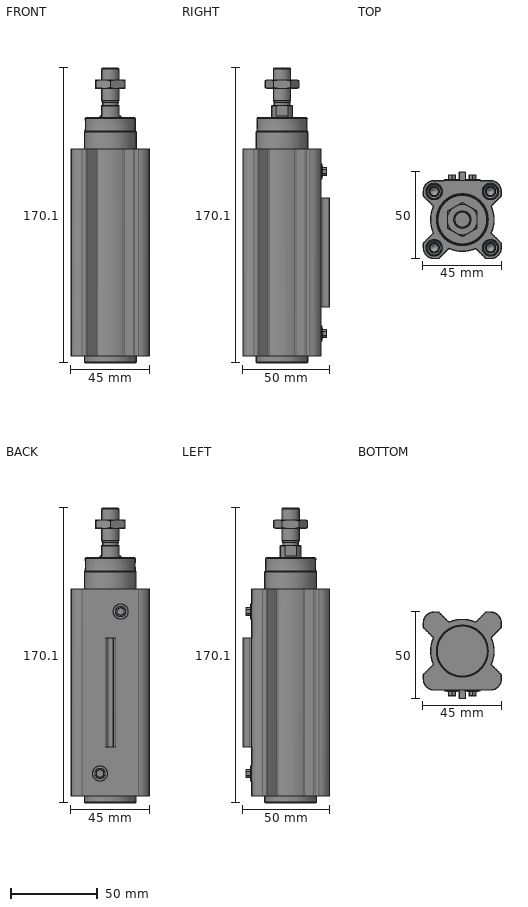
import cadquery as cq
import math


rod_top = 170.1
body_bottom = 3.9
body_top = 123.3
collar_step = 133.2
collar_top = 141.4

body_width = 45.0
half_width = body_width / 2
lobe_radius = 6.3
lobe_offset = half_width - lobe_radius
barrel_radius = 18.4
flank_start = 13.6
edge_radius = 1.0
root_radius = 0.7

collar_diameter = 30.0
rim_diameter = 29.1
waist_diameter = 28.7
collar_chamfer = 0.5

mouth_diameter = 9.5
countersink_diameter = 8.2
thread_diameter = 6.0
neck_diameter = 5.5
core_diameter = 5.0
mouth_depth = 0.3
thread_depth = 20.4
core_depth = 25.5
drill_half_angle = math.radians(59)

overall_depth = 50.0
rail_width = 3.7
rail_length = 63.1
rail_edge_radius = 0.7
rail_root_radius = 1.0

screw_spacing_x = 11.9
screw_spacing_z = 93.4
flange_diameter = 8.7
flange_height = 0.5
boss_diameter = 6.0
boss_height = 0.7
head_flats = 4.0
head_height = 3.2

rod_diameter = 12.0
thread_size = 10.0
relief_diameter = 9.0
rod_flats = 10.0
flats_bottom = 142.2
shoulder_top = 148.5
shoulder_chamfer = 0.5
relief_top = 150.0
thread_bottom = 151.4
rod_tip_chamfer = 0.7

nut_flats = 17.0
nut_bottom = 158.2
nut_thickness = 5.0
nut_face_diameter = 17.5
nut_chamfer_angle = math.radians(30)

body_middle = (body_bottom + body_top) / 2


def revolve_profile(profile):
    """Turn a closed radius-height profile about the Z axis."""
    return profile.close().revolve(360, (0, 0, 0), (0, 1, 0))


def across_corners(flats):
    """Corner-to-corner width of a hexagon with the given width across flats."""
    return flats / math.cos(math.pi / 6)


def make_body():
    """Barrel with four corner lobes; the two rear lobes join along a flat back."""
    height = body_top - body_bottom
    slant = half_width - flank_start
    far = (slant + math.sqrt(2 * barrel_radius**2 - slant**2)) / 2
    near = far - slant
    outside = half_width + edge_radius
    notch = (
        cq.Workplane("XY")
        .workplane(offset=body_bottom)
        .moveTo(far, near)
        .threePointArc((barrel_radius, 0), (far, -near))
        .lineTo(half_width, -flank_start)
        .lineTo(outside, -flank_start)
        .lineTo(outside, flank_start)
        .lineTo(half_width, flank_start)
        .close()
        .extrude(height)
    )
    body = (
        cq.Workplane("XY")
        .workplane(offset=body_bottom)
        .rect(body_width, body_width)
        .extrude(height)
        .edges("|Z")
        .fillet(lobe_radius)
    )
    right, left, front = 0, 180, 270
    for angle in (right, left, front):
        body = body.cut(notch.rotate((0, 0, 0), (0, 0, 1), angle))

    for out, along, radius in ((half_width, flank_start, edge_radius), (far, near, root_radius)):
        for side in (1, -1):
            for x, y in ((out, side * along), (-out, side * along), (side * along, -out)):
                sharp_edge = cq.selectors.NearestToPointSelector((x, y, body_middle))
                body = body.edges("|Z").edges(sharp_edge).fillet(radius)
    return body


def make_collars():
    """Bottom spigot, stepped top collar and the core that joins them, turned as one."""
    outer = collar_diameter / 2
    rim = rim_diameter / 2
    waist = waist_diameter / 2
    return revolve_profile(
        cq.Workplane("XZ")
        .moveTo(0, 0)
        .lineTo(outer - collar_chamfer, 0)
        .lineTo(outer, collar_chamfer)
        .lineTo(outer, collar_step)
        .lineTo(rim, collar_step + collar_chamfer)
        .threePointArc(
            (waist, (collar_step + collar_top) / 2),
            (rim, collar_top - collar_chamfer),
        )
        .lineTo(rim - collar_chamfer, collar_top)
        .lineTo(0, collar_top)
    )


def make_corner_hole():
    """Cutter for a stepped, countersunk hole with a drill-point bottom, on the Z axis."""
    mouth = mouth_diameter / 2
    countersink = countersink_diameter / 2
    thread = thread_diameter / 2
    neck = neck_diameter / 2
    core = core_diameter / 2
    ledge = body_top - mouth_depth
    thread_end = body_top - thread_depth
    core_end = body_top - core_depth
    return revolve_profile(
        cq.Workplane("XZ")
        .moveTo(0, body_top)
        .lineTo(mouth, body_top)
        .lineTo(mouth, ledge)
        .lineTo(countersink, ledge)
        .lineTo(thread, ledge - (countersink - thread))
        .lineTo(thread, thread_end)
        .lineTo(neck, thread_end)
        .lineTo(core, thread_end - (neck - core))
        .lineTo(core, core_end)
        .lineTo(0, core_end - core / math.tan(drill_half_angle))
    )


def make_rail():
    """Bar on the back face with rounded outer edges and rounded roots."""
    half = rail_width / 2
    foot = half + rail_root_radius
    crest = overall_depth - half_width
    arc_inset = 1 - math.sqrt(0.5)
    root_inset = rail_root_radius * arc_inset
    edge_inset = rail_edge_radius * arc_inset
    return (
        cq.Workplane("XY")
        .workplane(offset=body_middle - rail_length / 2)
        .moveTo(0, barrel_radius)
        .lineTo(foot, barrel_radius)
        .lineTo(foot, half_width)
        .threePointArc((half + root_inset, half_width + root_inset), (half, half_width + rail_root_radius))
        .lineTo(half, crest - rail_edge_radius)
        .threePointArc((half - edge_inset, crest - edge_inset), (half - rail_edge_radius, crest))
        .lineTo(0, crest)
        .mirrorY()
        .extrude(rail_length)
    )


def make_screw(side):
    """Hexagon-headed screw on a stepped round flange; side +1 is the upper left screw, -1 the lower right."""
    x = -side * screw_spacing_x / 2
    z = body_middle + side * screw_spacing_z / 2
    back_face = cq.Workplane("XZ", origin=(x, half_width, z))
    flange = back_face.circle(flange_diameter / 2).extrude(-flange_height)
    boss = back_face.circle(boss_diameter / 2).extrude(-boss_height)
    head = (
        back_face.transformed(rotate=(0, 0, 90))
        .polygon(6, across_corners(head_flats))
        .extrude(-head_height)
    )
    return flange.union(boss).union(head)


def make_rod():
    """Rod seated in the housing, with wrench flats, a relief neck and a threaded end."""
    full = rod_diameter / 2
    relief = relief_diameter / 2
    thread = thread_size / 2
    rod = revolve_profile(
        cq.Workplane("XZ")
        .moveTo(0, body_top)
        .lineTo(full, body_top)
        .lineTo(full, shoulder_top - shoulder_chamfer)
        .lineTo(full - shoulder_chamfer, shoulder_top)
        .lineTo(relief, shoulder_top)
        .lineTo(relief, relief_top)
        .lineTo(thread, thread_bottom)
        .lineTo(thread, rod_top - rod_tip_chamfer)
        .lineTo(thread - rod_tip_chamfer, rod_top)
        .lineTo(0, rod_top)
    )
    for side in (1, -1):
        flat = (
            cq.Workplane("XY")
            .workplane(offset=flats_bottom)
            .center(side * (rod_flats + rod_diameter) / 2, 0)
            .rect(rod_diameter, rod_diameter)
            .extrude(shoulder_top - flats_bottom)
        )
        rod = rod.cut(flat)
    return rod


def make_nut():
    """Hexagon nut with its corners turned off conically at both ends."""
    corner = across_corners(nut_flats) / 2
    inner = nut_face_diameter / 2
    drop = (corner - inner) * math.tan(nut_chamfer_angle)
    nut_top = nut_bottom + nut_thickness
    blank = (
        cq.Workplane("XY")
        .workplane(offset=nut_bottom)
        .transformed(rotate=(0, 0, 90))
        .polygon(6, 2 * corner)
        .extrude(nut_thickness)
    )
    envelope = revolve_profile(
        cq.Workplane("XZ")
        .moveTo(0, nut_bottom)
        .lineTo(inner, nut_bottom)
        .lineTo(corner, nut_bottom + drop)
        .lineTo(corner, nut_top - drop)
        .lineTo(inner, nut_top)
        .lineTo(0, nut_top)
    )
    bore = cq.Workplane("XY").workplane(offset=nut_bottom).circle(thread_size / 2).extrude(nut_thickness)
    return blank.intersect(envelope).cut(bore)


def make_housing():
    housing = make_body().union(make_collars()).union(make_rail())
    for side in (1, -1):
        housing = housing.union(make_screw(side))
    corner_hole = make_corner_hole()
    for x in (-lobe_offset, lobe_offset):
        for y in (-lobe_offset, lobe_offset):
            housing = housing.cut(corner_hole.translate((x, y, 0)))
    rod_bore = (
        cq.Workplane("XY").workplane(offset=body_top).circle(rod_diameter / 2).extrude(collar_top - body_top)
    )
    return housing.cut(rod_bore)


housing = make_housing()
rod = make_rod()
nut = make_nut()

result = cq.Compound.makeCompound([housing.val(), rod.val(), nut.val()])